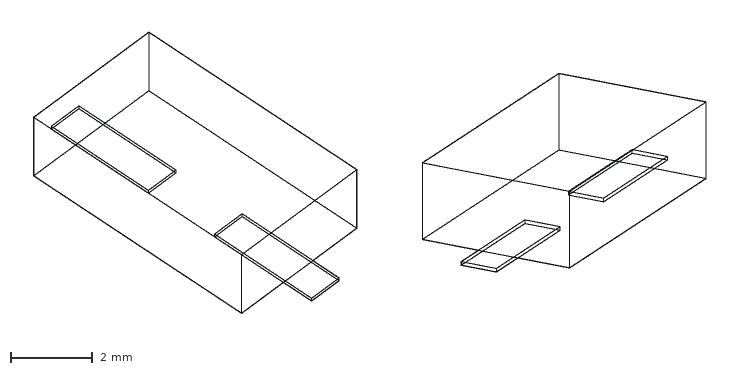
import cadquery as cq

overall_length = 8.76
overall_height = 2.1

lead_length = 3.27
lead_width = 0.98
lead_thickness = 0.1

housing_length = 7.0
housing_width = 4.1
housing_height = overall_height - lead_thickness


def make_housing():
    """Plain rectangular block whose underside lies on the lead tops."""
    return (
        cq.Workplane("XY")
        .workplane(offset=lead_thickness)
        .box(housing_length, housing_width, housing_height, centered=(True, True, False))
    )


def make_lead(side):
    """Flat strip reaching inward from the outer end; side is -1 or +1 along X."""
    lead_center_x = side * (overall_length - lead_length) / 2
    return (
        cq.Workplane("XY")
        .center(lead_center_x, 0)
        .box(lead_length, lead_width, lead_thickness, centered=(True, True, False))
    )


housing = make_housing()
leads = [make_lead(side) for side in (-1, 1)]

result = cq.Compound.makeCompound([housing.val(), *[lead.val() for lead in leads]])